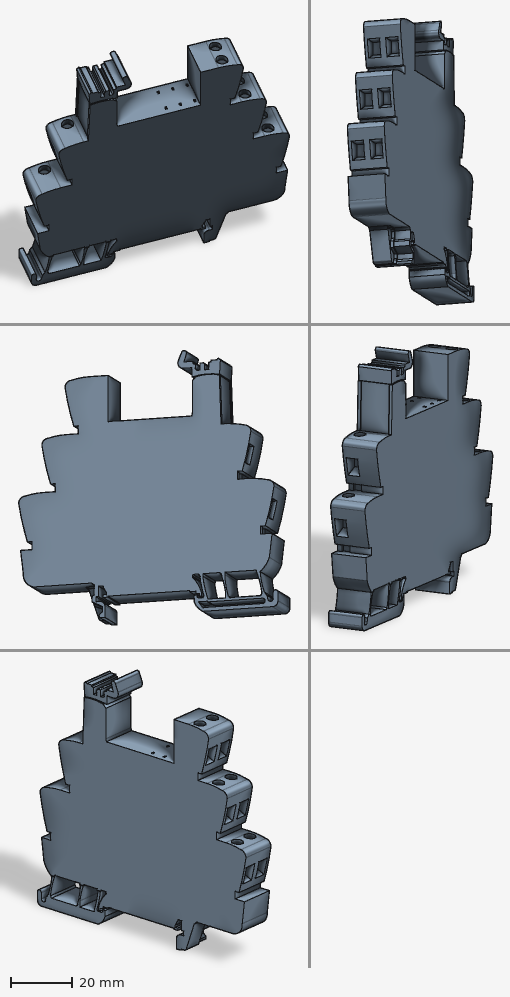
import cadquery as cq


width = 12.8
left_face = -width / 2
right_face = width / 2
cut_clearance = 1.0

tier_step_y = 8.0
tier_step_z = 18.87
tier_top = 43.45
tier_height = 16.2
notch_height = tier_step_z - tier_height
tier_reach = 44.1
neck_reach = 39.5
crown_start = 35.45
crown_end = 41.9
crown_drop = 0.8
shoulder_drop = 3.05
shoulder_bow = 0.65
tier_undercut = 3.0
face_bulge = 0.25

base_top = tier_top - tier_height - notch_height
base_bottom = 12.0
base_reach = 43.45
base_corner_y, base_corner_z = 42.5, 16.6
base_corner_end = 38.6
rail_seat = 7.25
deck_top = 65.7
deck_end = 13.2

pillar_rear = -15.9
pillar_front = -25.2
pillar_front_foot = -25.8
pillar_bottom = tier_top + tier_step_z
pillar_shoulder = 77.5
pillar_corner = 1.2
pillar_flare = 0.25
pillar_flare_height = 1.0
pillar_crown = 79.2
pillar_front_top = 78.9
pillar_rear_top = 78.7
pillar_mid = (pillar_rear + pillar_front) / 2

plate_width = 10.5
plate_thickness = 1.5
plate_recess = 0.35

terminal_x = 3.18
screw_diameter = 3.9
screw_y = 37.7
screw_depth = 2.2
wire_width = 4.25
wire_height = 6.2
wire_bottom = 30.2
wire_back = 37.6
wire_mouth = 42.0
wire_floor_rise = 2.0
notch_groove_width = 3.0
notch_groove_depth = 1.0

contact_x = 3.75
contact_first_y = 2.1
contact_pitch = 5.0
contact_width = 0.9
contact_length = 0.55
contact_depth = 3.0

window_top = 12.6
foot_right_face = 6.1
ledge_face = -1.0
web_face = 0.0
foot_groove_face = 0.0

lever_width = 12.3
lever_gap = 0.25


def extrude_x(profile, x_start, x_end):
    """Extrude a closed (Y, Z) profile from x_start to x_end."""
    return profile.extrude(x_end - x_start).translate((x_start, 0, 0))


def sketch(y, z):
    return cq.Workplane("YZ").moveTo(y, z)


def block(x_range, y_range, z_range):
    """Box given by its limits along each axis."""
    size = [r[1] - r[0] for r in (x_range, y_range, z_range)]
    corner = (x_range[0], y_range[0], z_range[0])
    return cq.Workplane("XY").box(*size, centered=False).translate(corner)


def full_width_block(y_range, z_range):
    return block((left_face, right_face), y_range, z_range)


def on_side(shape, side):
    """Shapes are made on the +Y side; side -1 gives the mirrored copy."""
    return shape if side > 0 else shape.mirror("XZ")


def tier(level, inner_y):
    """One terminal tier on the +Y side, with the neck of the notch under it."""
    shift = level * tier_step_y
    top = tier_top + level * tier_step_z
    bottom = top - tier_height
    reach = tier_reach - shift
    slope_mid = reach - tier_undercut / 2 + face_bulge
    profile = (
        sketch(inner_y, top)
        .lineTo(crown_start - shift, top)
        .threePointArc(
            ((crown_start + crown_end) / 2 - shift, top - crown_drop / 4),
            (crown_end - shift, top - crown_drop),
        )
        .threePointArc(
            (reach - shoulder_bow, top - shoulder_drop / 2),
            (reach, top - shoulder_drop),
        )
        .threePointArc(
            (slope_mid, (top - shoulder_drop + bottom) / 2),
            (reach - tier_undercut, bottom),
        )
        .lineTo(inner_y, bottom)
        .close()
    )
    neck = full_width_block((inner_y, neck_reach - shift), (bottom - notch_height, bottom))
    return extrude_x(profile, left_face, right_face).union(neck)


def base():
    """Lowest block of the body; the -Y corner is cut back above the rail foot."""
    profile = (
        sketch(base_reach, base_top)
        .lineTo(base_corner_y, base_corner_z)
        .threePointArc((41.4, 13.4), (base_corner_end, base_bottom))
        .lineTo(-39.3, base_bottom)
        .threePointArc((-41.3, 14.2), (-base_corner_y, base_corner_z))
        .lineTo(-base_reach, base_top)
        .close()
    )
    return extrude_x(profile, left_face, right_face)


def pillar():
    profile = (
        sketch(pillar_front_foot, pillar_bottom)
        .lineTo(pillar_front, pillar_front_top)
        .threePointArc((pillar_mid, pillar_crown), (pillar_rear - pillar_corner, pillar_rear_top))
        .lineTo(pillar_rear, pillar_shoulder)
        .lineTo(pillar_rear, deck_top + pillar_flare_height)
        .lineTo(pillar_rear + pillar_flare, deck_top)
        .lineTo(pillar_rear, pillar_bottom)
        .close()
    )
    return extrude_x(profile, left_face, right_face)


def rail_seat_block():
    """Lower middle of the body, with the hooked lip and the finger at its ends."""
    profile = (
        sketch(16.5, base_bottom)
        .lineTo(16.5, 10.8)
        .lineTo(15.1, 10.8)
        .lineTo(13.8, 8.5)
        .lineTo(13.8, 7.8)
        .lineTo(14.9, 7.8)
        .lineTo(14.9, 6.9)
        .lineTo(13.3, 6.9)
        .lineTo(13.3, rail_seat)
        .lineTo(-14.9, rail_seat)
        .lineTo(-14.9, 6.9)
        .lineTo(-17.1, 6.9)
        .lineTo(-17.2, 6.2)
        .lineTo(-18.3, 6.0)
        .lineTo(-18.3, 5.1)
        .lineTo(-19.0, 5.1)
        .lineTo(-19.0, 6.5)
        .threePointArc((-18.0, 8.9), (-15.9, 11.7))
        .lineTo(-15.9, base_bottom)
        .close()
    )
    return extrude_x(profile, left_face, right_face)


def spring_leg():
    """Spring leg with its catch on the +Y side of the rail."""
    profile = (
        sketch(18.9, base_bottom)
        .lineTo(18.0, 11.1)
        .lineTo(18.0, 8.1)
        .lineTo(18.8, 7.4)
        .lineTo(18.8, 5.7)
        .lineTo(15.2, 3.9)
        .lineTo(15.2, 2.1)
        .lineTo(16.3, 1.2)
        .lineTo(16.2, 0.3)
        .lineTo(14.3, 0.2)
        .lineTo(14.3, 4.2)
        .threePointArc((15.0, 5.3), (16.3, 5.7))
        .lineTo(17.3, 5.7)
        .lineTo(17.3, 7.3)
        .lineTo(16.5, 7.3)
        .lineTo(16.5, base_bottom)
        .close()
    )
    return extrude_x(profile, left_face, right_face)


def leg_rim():
    """Rim that steps back from the spring leg's outline."""
    profile = (
        sketch(22.4, base_bottom)
        .lineTo(21.6, 11.5)
        .lineTo(19.1, 11.5)
        .lineTo(18.6, 10.8)
        .lineTo(18.6, 8.6)
        .lineTo(19.5, 7.5)
        .lineTo(19.5, 5.3)
        .lineTo(15.9, 3.9)
        .lineTo(15.9, 2.4)
        .lineTo(16.5, 1.7)
        .lineTo(16.5, 0.6)
        .lineTo(15.2, 0.6)
        .lineTo(15.2, 4.2)
        .lineTo(18.0, 6.0)
        .lineTo(17.3, base_bottom)
        .close()
    )
    return extrude_x(profile, ledge_face, right_face)


def leg_web():
    """Thin web that stiffens the spring leg."""
    profile = (
        sketch(22.9, base_bottom)
        .lineTo(21.9, 11.0)
        .lineTo(18.5, 1.2)
        .threePointArc((18.2, 0.85), (17.7, 0.7))
        .lineTo(15.2, 0.6)
        .lineTo(15.2, 4.2)
        .lineTo(18.0, 6.0)
        .lineTo(17.3, base_bottom)
        .close()
    )
    return extrude_x(profile, web_face, right_face)


def foot_outline():
    """Rail foot on the -Y side, hanging from the base by three slanted struts."""
    return (
        sketch(-18.0, window_top)
        .lineTo(-18.5, 11.9)
        .threePointArc((-19.0, 8.8), (-19.8, 5.6))
        .threePointArc((-19.8, 4.9), (-19.4, 4.6))
        .lineTo(-18.0, 4.6)
        .lineTo(-17.5, 5.0)
        .lineTo(-17.5, 5.6)
        .lineTo(-16.5, 5.6)
        .lineTo(-16.5, 3.5)
        .threePointArc((-17.6, 1.5), (-19.5, 0))
        .lineTo(-43.5, 0)
        .threePointArc((-44.9, 0.5), (-45.45, 1.9))
        .lineTo(-45.45, 4.75)
        .threePointArc((-44.6, 5.6), (-43.8, 4.75))
        .lineTo(-43.8, 2.6)
        .threePointArc((-42.9, 1.8), (-42.0, 2.6))
        .lineTo(-41.7, 3.9)
        .lineTo(-40.8, 5.0)
        .threePointArc((-39.8, 8.5), (-39.3, 12.3))
        .lineTo(-38.5, window_top)
        .close()
    )


def front_window():
    """Opening between the inner and middle struts."""
    return (
        sketch(-19.7, window_top)
        .lineTo(-25.3, window_top)
        .lineTo(-25.9, 11.8)
        .threePointArc((-26.7, 9.0), (-27.3, 6.2))
        .lineTo(-27.3, 4.0)
        .lineTo(-21.3, 4.0)
        .threePointArc((-20.2, 7.8), (-19.5, 11.8))
        .close()
    )


def rear_window():
    """Opening between the middle and outer struts."""
    return (
        sketch(-27.1, window_top)
        .lineTo(-37.9, window_top)
        .threePointArc((-39.1, 8.8), (-39.9, 4.7))
        .lineTo(-39.4, 4.0)
        .lineTo(-28.8, 4.0)
        .lineTo(-28.3, 4.6)
        .threePointArc((-27.5, 8.0), (-27.1, 11.8))
        .close()
    )


def inner_slit():
    """Top of the slit between the finger and the inner strut."""
    return (
        sketch(-15.9, 11.7)
        .lineTo(-16.1, window_top)
        .lineTo(-18.0, window_top)
        .lineTo(-18.5, 11.5)
        .close()
    )


def foot_groove():
    """Blind groove along the foot's -X face."""
    return (
        sketch(-18.0, 3.3)
        .lineTo(-21.2, 3.3)
        .lineTo(-21.2, 3.05)
        .lineTo(-40.2, 3.05)
        .threePointArc((-41.0, 2.2), (-40.2, 1.25))
        .lineTo(-19.5, 1.25)
        .close()
    )


def screw_hole(level, x):
    top = tier_top + level * tier_step_z
    hole = cq.Workplane("XY").circle(screw_diameter / 2).extrude(screw_depth)
    return hole.translate((x, screw_y - level * tier_step_y, top - screw_depth))


def wire_pocket(level, x):
    """Wire entry in a tier's outer face, with a floor that rises towards the back."""
    profile = (
        sketch(tier_reach + cut_clearance, wire_bottom)
        .lineTo(wire_mouth, wire_bottom)
        .lineTo(wire_back, wire_bottom + wire_floor_rise)
        .lineTo(wire_back, wire_bottom + wire_height)
        .lineTo(tier_reach + cut_clearance, wire_bottom + wire_height)
        .close()
    )
    pocket = extrude_x(profile, x - wire_width / 2, x + wire_width / 2)
    return pocket.translate((0, -level * tier_step_y, level * tier_step_z))


def notch_groove(level, x):
    """Groove in the notch wall under a tier."""
    wall = neck_reach - level * tier_step_y
    top = tier_top + level * tier_step_z - tier_height
    return block(
        (x - notch_groove_width / 2, x + notch_groove_width / 2),
        (wall - notch_groove_depth, wall),
        (top - notch_height, top),
    )


terminals = [(1, level, x) for level in range(3) for x in (-terminal_x, terminal_x)]
terminals += [(-1, level, -terminal_x) for level in range(2)]


def plate_strip(front_offset, rear_offset):
    """Strip parallel to the pillar's sloping face, between two offsets behind it."""
    profile = (
        sketch(pillar_front_foot + front_offset, pillar_bottom)
        .lineTo(pillar_front + front_offset, pillar_crown)
        .lineTo(pillar_front + rear_offset, pillar_crown)
        .lineTo(pillar_front_foot + rear_offset, pillar_bottom)
        .close()
    )
    return extrude_x(profile, -plate_width / 2, plate_width / 2)


def make_housing():
    top_neck = neck_reach - 2 * tier_step_y
    body = full_width_block((pillar_front, top_neck), (base_bottom, deck_top))
    body = body.union(base())
    for level in range(2):
        for side in (1, -1):
            body = body.union(on_side(tier(level, 0), side))
    body = body.union(tier(2, deck_end))
    body = body.union(pillar()).union(rail_seat_block())
    body = body.union(spring_leg()).union(leg_rim()).union(leg_web())
    body = body.union(extrude_x(foot_outline(), left_face, foot_right_face))
    for opening in (front_window(), rear_window(), inner_slit()):
        body = body.cut(extrude_x(opening, left_face, right_face))
    body = body.cut(extrude_x(foot_groove(), left_face, foot_groove_face))

    for side, level, x in terminals:
        body = body.cut(on_side(screw_hole(level, x), side))
        body = body.cut(on_side(wire_pocket(level, x), side))
    for level in range(2):
        body = body.cut(on_side(notch_groove(level, -terminal_x), -1))

    for row in range(3):
        for x in (-contact_x, contact_x):
            y = contact_first_y + row * contact_pitch
            body = body.cut(block(
                (x - contact_width / 2, x + contact_width / 2),
                (y - contact_length / 2, y + contact_length / 2),
                (deck_top - contact_depth, deck_top),
            ))

    return body.cut(plate_strip(-cut_clearance, plate_recess + plate_thickness))


def make_front_plate():
    """Plate trimmed to the pillar's curved top, so it clears the lever."""
    strip = plate_strip(plate_recess, plate_recess + plate_thickness)
    return strip.intersect(pillar())


def make_lever():
    """Lever head on top of the pillar: finger tab, two grip slots and a front lip."""
    profile = (
        sketch(-15.7, 78.8)
        .lineTo(-15.6, 81.9)
        .lineTo(-12.5, 81.9)
        .threePointArc((-11.1, 82.7), (-10.9, 84.4))
        .lineTo(-12.0, 87.1)
        .threePointArc((-13.0, 87.83), (-13.8, 86.8))
        .lineTo(-12.9, 84.0)
        .lineTo(-15.9, 84.0)
        .lineTo(-16.0, 83.3)
        .lineTo(-17.0, 83.0)
        .lineTo(-16.8, 81.5)
        .lineTo(-17.3, 80.95)
        .lineTo(-18.4, 80.95)
        .lineTo(-18.4, 83.3)
        .lineTo(-19.6, 83.3)
        .lineTo(-20.05, 82.7)
        .lineTo(-20.05, 80.95)
        .lineTo(-21.4, 80.95)
        .lineTo(-21.4, 83.3)
        .lineTo(-22.2, 83.5)
        .lineTo(-22.2, 84.0)
        .lineTo(-24.2, 84.0)
        .lineTo(-24.8, 84.5)
        .lineTo(-25.5, 83.8)
        .lineTo(pillar_front, pillar_front_top + lever_gap)
        .threePointArc((pillar_mid, pillar_crown + lever_gap), (-15.7, 78.8))
        .close()
    )
    return extrude_x(profile, -lever_width / 2, lever_width / 2)


housing = make_housing()
front_plate = make_front_plate()
lever = make_lever()

result = cq.Compound.makeCompound([housing.val(), front_plate.val(), lever.val()])